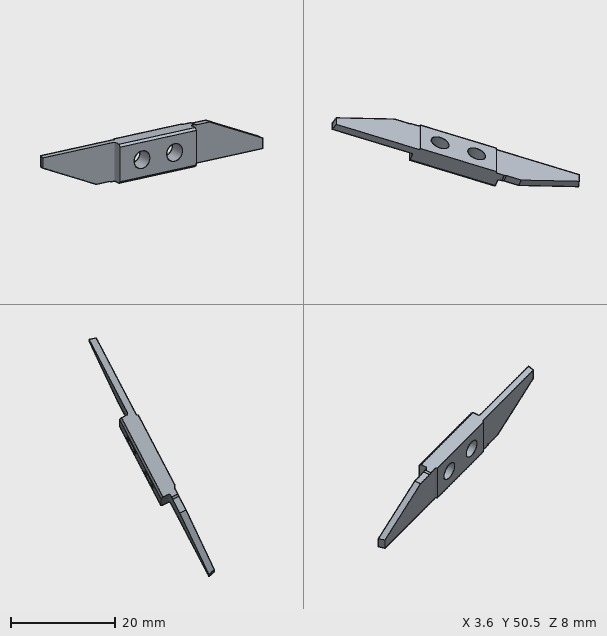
import cadquery as cq
import math

length = 50.5
height = 8.0
thickness = 3.6

pad_rise = 0.3
blade_thickness = 1.35
back_face = thickness / 2
pad_face = -thickness / 2
blade_face = pad_face + pad_rise
blade_back = blade_face + blade_thickness

block_length = 17.45
pad_length = 15.55
root_radius = 0.3
block_chamfer = 0.45

relief_start = 9.5
relief_end = 9.95
relief_depth = 0.15
taper_start = 13.0
taper_angle = 25.0
tip_bevel_angle = 15.0

hole_diameter = 3.6
hole_spacing = 7.45


def make_blades():
    """Both blades as one plate with tapered arms and bevelled tips."""
    half_length = length / 2
    half_height = height / 2
    relief_height = half_height - relief_depth
    taper_drop = (half_length - taper_start) * math.tan(math.radians(taper_angle))
    upper_edge = [
        (-half_length, half_height),
        (relief_start, half_height),
        (relief_end, relief_height),
        (taper_start, relief_height),
        (half_length, relief_height - taper_drop),
    ]
    lower_edge = [(-y, -z) for y, z in upper_edge]
    plate = (
        cq.Workplane("YZ", origin=(blade_face, 0, 0))
        .polyline(upper_edge + lower_edge)
        .close()
        .extrude(blade_thickness)
    )
    tip_setback = blade_thickness * math.tan(math.radians(tip_bevel_angle))
    bevelled_plan = [
        (blade_face, half_length - tip_setback),
        (blade_back, half_length),
        (blade_back, -half_length),
        (blade_face, tip_setback - half_length),
    ]
    envelope = (
        cq.Workplane("XY", origin=(0, 0, -half_height))
        .polyline(bevelled_plan)
        .close()
        .extrude(height)
    )
    return plate.intersect(envelope)


def make_hub():
    """Central block and pad, flaring into the blades with root fillets."""
    half_block = block_length / 2
    half_pad = pad_length / 2
    pad_root = half_pad + root_radius
    block_root = half_block + root_radius
    arc_inset = root_radius * (1 - math.sqrt(0.5))
    hub = (
        cq.Workplane("XY", origin=(0, 0, -height / 2))
        .moveTo(pad_face, -half_pad)
        .lineTo(pad_face, half_pad)
        .threePointArc((blade_face - arc_inset, half_pad + arc_inset), (blade_face, pad_root))
        .lineTo(blade_face, block_root)
        .lineTo(blade_back, block_root)
        .threePointArc(
            (blade_back + arc_inset, half_block + arc_inset),
            (blade_back + root_radius, half_block),
        )
        .lineTo(back_face, half_block)
        .lineTo(back_face, -half_block)
        .lineTo(blade_back + root_radius, -half_block)
        .threePointArc(
            (blade_back + arc_inset, -half_block - arc_inset),
            (blade_back, -block_root),
        )
        .lineTo(blade_face, -block_root)
        .lineTo(blade_face, -pad_root)
        .threePointArc((blade_face - arc_inset, -half_pad - arc_inset), (pad_face, -half_pad))
        .close()
        .extrude(height)
    )
    return hub.faces(">X").edges("|Y").chamfer(block_chamfer)


def make_holes():
    """Through holes along X."""
    return (
        cq.Workplane("YZ", origin=(pad_face, 0, 0))
        .pushPoints([(-hole_spacing / 2, 0), (hole_spacing / 2, 0)])
        .circle(hole_diameter / 2)
        .extrude(thickness)
    )


result = make_blades().union(make_hub()).cut(make_holes())